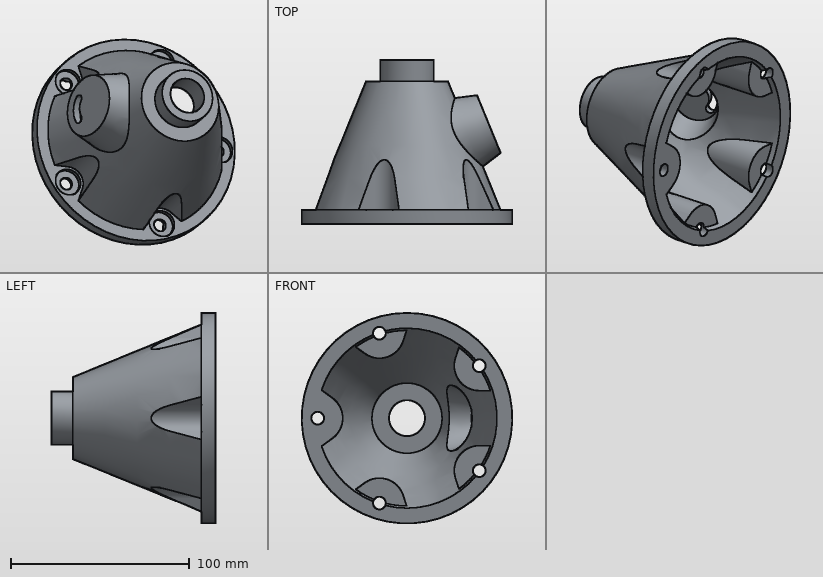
import cadquery as cq
import math

wall = 5.0

flange_diameter = 118.0
flange_thickness = 8.0

cone_height = 80.0
cone_radius_at_flange = 52.5
cone_top_radius = 23.0

neck_diameter = 30.0
neck_bore_diameter = 20.0
total_length = 92.0

lug_count = 5
first_lug_angle = 180.0
lug_radius = 14.0
lug_flank_angle = 36.0
bolt_circle_radius = 50.0
bolt_hole_diameter = 7.0
spotface_diameter = 15.0

nozzle_end_x = 45.85
nozzle_end_y = 56.1
nozzle_end_radius = 17.5
nozzle_taper = 15.0
nozzle_depth = 30.0

slot_mid_radius = 10.0
slot_width = 5.0
slot_half_angle = 35.0

cone_slope = (cone_radius_at_flange - cone_top_radius) / (cone_height - flange_thickness)
cone_base_radius = cone_top_radius + cone_slope * cone_height
cavity_depth = cone_height - wall
cavity_mouth_radius = cone_base_radius - wall * math.hypot(1, cone_slope)
cavity_floor_radius = cavity_mouth_radius - cone_slope * cavity_depth

pocket_radius = lug_radius - wall
lug_recess = flange_thickness - wall
bolt_seat_y = wall

nozzle_tilt = math.degrees(math.atan(cone_slope))
nozzle_bore_end_radius = nozzle_end_radius - wall / math.cos(math.radians(nozzle_taper))


def frustum_along_y(start_radius, end_radius, y_start, y_end):
    """Solid of revolution about the Y axis with a straight side."""
    profile = cq.Workplane("ZY").polyline([
        (0, y_start),
        (start_radius, y_start),
        (end_radius, y_end),
        (0, y_end),
    ])
    return profile.close().revolve(360, (0, 0, 0), (0, 1, 0))


def cylinder_along_y(diameter, y_start, y_end):
    return frustum_along_y(diameter / 2, diameter / 2, y_start, y_end)


def turned_about_y(solid, angle):
    """Turn a solid from the +X side toward +Z."""
    return solid.rotate((0, 0, 0), (0, 1, 0), -angle)


def outer_cone():
    return frustum_along_y(cone_base_radius, cone_top_radius, 0, cone_height)


def cavity():
    return frustum_along_y(cavity_mouth_radius, cavity_floor_radius, 0, cavity_depth)


def place_on_nozzle(solid):
    """Move a solid built about +X, with its end face at X = 0, onto the nozzle axis."""
    tilted = solid.rotate((0, 0, 0), (0, 0, 1), nozzle_tilt)
    return tilted.translate((nozzle_end_x, nozzle_end_y, 0))


def nozzle_plug(end_radius, start_depth, end_depth):
    """Tapered plug between two depths; end_radius is its radius carried out to the end face."""
    taper = math.tan(math.radians(nozzle_taper))
    profile = cq.Workplane("XY").polyline([
        (-start_depth, 0),
        (-start_depth, end_radius + start_depth * taper),
        (-end_depth, end_radius + end_depth * taper),
        (-end_depth, 0),
    ])
    return place_on_nozzle(profile.close().revolve(360, (0, 0, 0), (1, 0, 0)))


def nozzle_slot():
    """Round-ended slot through the nozzle end wall, curved about the nozzle axis."""
    half_angle = math.radians(slot_half_angle)
    inner_radius = slot_mid_radius - slot_width / 2
    outer_radius = slot_mid_radius + slot_width / 2

    def slot_point(radius, angle):
        return (-radius * math.cos(angle), radius * math.sin(angle))

    def cap_tip(side):
        mid_y, mid_z = slot_point(slot_mid_radius, side * half_angle)
        bulge = slot_width / 2
        return (mid_y + bulge * math.sin(half_angle), mid_z + side * bulge * math.cos(half_angle))

    profile = (
        cq.Workplane("YZ")
        .moveTo(*slot_point(inner_radius, -half_angle))
        .threePointArc(slot_point(inner_radius, 0), slot_point(inner_radius, half_angle))
        .threePointArc(cap_tip(1), slot_point(outer_radius, half_angle))
        .threePointArc(slot_point(outer_radius, 0), slot_point(outer_radius, -half_angle))
        .threePointArc(cap_tip(-1), slot_point(inner_radius, -half_angle))
        .close()
    )
    return place_on_nozzle(profile.extrude(-wall))


def lug_prism(radius, y_start, y_end):
    """Prism along Y on the +X side: an arc about the bolt axis with tangent flanks opening outward."""
    flank = math.radians(lug_flank_angle)
    tangent_x = bolt_circle_radius - radius * math.sin(flank)
    tangent_z = radius * math.cos(flank)
    outer_x = flange_diameter / 2
    outer_z = tangent_z + (outer_x - tangent_x) * math.tan(flank)
    profile = (
        cq.Workplane("XZ", origin=(0, y_start, 0))
        .moveTo(outer_x, -outer_z)
        .lineTo(tangent_x, -tangent_z)
        .threePointArc((bolt_circle_radius - radius, 0), (tangent_x, tangent_z))
        .lineTo(outer_x, outer_z)
        .close()
    )
    return profile.extrude(y_start - y_end)


def bolt_cutter():
    """Bolt hole through the flange with a spotface sunk from the back."""
    hole = cylinder_along_y(bolt_hole_diameter, 0, flange_thickness)
    spotface = cylinder_along_y(spotface_diameter, bolt_seat_y, flange_thickness)
    return hole.union(spotface).translate((bolt_circle_radius, 0, 0))


def housing_shell():
    body = outer_cone()
    body = body.union(cylinder_along_y(flange_diameter, 0, flange_thickness))
    body = body.union(nozzle_plug(nozzle_end_radius, 0, nozzle_depth))
    body = body.union(cylinder_along_y(neck_diameter, cavity_depth, total_length))
    body = body.cut(cavity())
    body = body.cut(nozzle_plug(nozzle_bore_end_radius, wall, nozzle_depth))
    body = body.cut(nozzle_slot())
    return body.cut(cylinder_along_y(neck_bore_diameter, 0, total_length))


def add_lugs(body):
    for index in range(lug_count):
        angle = first_lug_angle + index * 360 / lug_count
        face_y = 0 if index == 0 else lug_recess
        lug = lug_prism(lug_radius, face_y, cone_height).intersect(outer_cone())
        pocket = lug_prism(pocket_radius, flange_thickness, cone_height)
        body = body.union(turned_about_y(lug, angle))
        body = body.cut(turned_about_y(pocket, angle))
        body = body.cut(turned_about_y(bolt_cutter(), angle))
    return body


result = add_lugs(housing_shell())